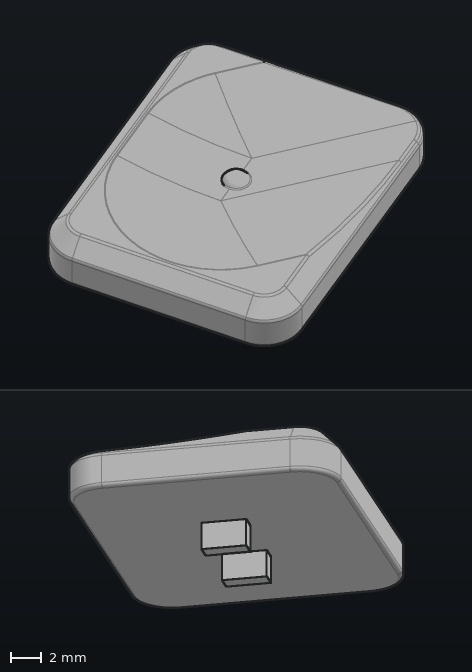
import cadquery as cq
import math

WIDTH = 18.0
LENGTH = 22.5
BODY_HEIGHT = 3.5
CORNER_RADIUS = 2.75
TOP_CHAMFER = 1.22
EDGE_FILLET = 0.3

DISH_RADIUS = 7.5
DISH_DEPTH = 0.9
DISH_CENTRE_Y = 2.25
SPOUT_ANGLE = 45.0
SPOUT_LENGTH = 22.5

DOME_RADIUS = 1.04
DOME_HEIGHT = 0.58
DOME_FILLET = 0.11
DOME_ROOT = 0.45

LEG_WIDTH = 2.97
LEG_THICKNESS = 1.2
LEG_HEIGHT = 1.82
LEG_CENTRE_Y = 2.85

TOOL_CLEARANCE = 1.12
SELECT_MARGIN = 0.02

FLOOR_Z = BODY_HEIGHT - DISH_DEPTH
TOOL_TOP_Z = BODY_HEIGHT + TOOL_CLEARANCE


def make_body():
    """Rounded block with a chamfered top; all but the upper chamfer edge is blended."""
    body = cq.Workplane("XY").box(WIDTH, LENGTH, BODY_HEIGHT, centered=(True, True, False))
    body = body.edges("|Z").fillet(CORNER_RADIUS)
    body = body.faces(">Z").edges().chamfer(TOP_CHAMFER)
    shoulder_z = BODY_HEIGHT - TOP_CHAMFER
    shoulder = cq.selectors.BoxSelector(
        (-WIDTH, -LENGTH, shoulder_z - SELECT_MARGIN), (WIDTH, LENGTH, shoulder_z + SELECT_MARGIN)
    )
    return body.faces("<Z").edges().add(body.edges(shoulder)).fillet(EDGE_FILLET)


def half_section(centre_y, angle):
    """Half of the dish section: from the dish centre outwards in the direction of angle (degrees).

    The floor is an arc that leaves the centre level and rises to the rim. The plane's normal is
    the outward direction turned 90 degrees clockwise.
    """
    outward = (math.cos(math.radians(angle)), math.sin(math.radians(angle)), 0)
    normal = (outward[1], -outward[0], 0)
    arc_radius = (DISH_RADIUS**2 + DISH_DEPTH**2) / (2 * DISH_DEPTH)
    middle_x = DISH_RADIUS / 2
    middle_z = FLOOR_Z + arc_radius - math.sqrt(arc_radius**2 - middle_x**2)
    return (
        cq.Workplane(cq.Plane(origin=(0, centre_y, 0), xDir=outward, normal=normal))
        .moveTo(0, FLOOR_Z)
        .threePointArc((middle_x, middle_z), (DISH_RADIUS, BODY_HEIGHT))
        .lineTo(DISH_RADIUS, TOOL_TOP_Z)
        .lineTo(0, TOOL_TOP_Z)
        .close()
    )


def round_end(centre_y, start_angle, end_angle):
    """Part of the bowl turned about its centre, anticlockwise from start_angle to end_angle."""
    return half_section(centre_y, end_angle).revolve(end_angle - start_angle, (0, 0), (0, -1))


def make_dish():
    """Cutting solid: a bowl with round ends and a straight -X side, run out along the spout."""
    left_side = half_section(DISH_CENTRE_Y, 180).extrude(-2 * DISH_CENTRE_Y)
    upper_end = round_end(DISH_CENTRE_Y, 90 + SPOUT_ANGLE, 180)
    lower_end = round_end(-DISH_CENTRE_Y, 180, 270 + SPOUT_ANGLE)
    upper_flank = half_section(DISH_CENTRE_Y, 90 + SPOUT_ANGLE).extrude(SPOUT_LENGTH)
    lower_flank = half_section(-DISH_CENTRE_Y, SPOUT_ANGLE - 90).extrude(-SPOUT_LENGTH)

    spout_x = SPOUT_LENGTH * math.cos(math.radians(SPOUT_ANGLE))
    spout_y = SPOUT_LENGTH * math.sin(math.radians(SPOUT_ANGLE))
    spout_floor = (
        cq.Workplane("XY", origin=(0, 0, FLOOR_Z))
        .polyline([
            (0, -DISH_CENTRE_Y),
            (spout_x, spout_y - DISH_CENTRE_Y),
            (spout_x, spout_y + DISH_CENTRE_Y),
            (0, DISH_CENTRE_Y),
        ])
        .close()
        .extrude(TOOL_TOP_Z - FLOOR_Z)
    )
    dish = left_side
    for part in (upper_end, lower_end, upper_flank, lower_flank, spout_floor):
        dish = dish.union(part, clean=False)
    return dish


def make_dome():
    """Dome with a blend around its foot, turned about the Z axis and sunk into the dish floor."""
    sphere_z = FLOOR_Z + DOME_HEIGHT - DOME_RADIUS
    blend_z = FLOOR_Z + DOME_FILLET
    centre_distance = DOME_RADIUS + DOME_FILLET
    foot_radius = math.sqrt(centre_distance**2 - (blend_z - sphere_z) ** 2)
    dome_share = DOME_RADIUS / centre_distance
    touch = (foot_radius * dome_share, sphere_z + (blend_z - sphere_z) * dome_share)
    half_angle = math.atan2(foot_radius, blend_z - sphere_z) / 2
    dome_middle = (DOME_RADIUS * math.sin(half_angle), sphere_z + DOME_RADIUS * math.cos(half_angle))
    blend_middle = (
        foot_radius - DOME_FILLET * math.sin(half_angle),
        blend_z - DOME_FILLET * math.cos(half_angle),
    )
    return (
        cq.Workplane("XZ")
        .moveTo(0, FLOOR_Z + DOME_HEIGHT)
        .threePointArc(dome_middle, touch)
        .threePointArc(blend_middle, (foot_radius, FLOOR_Z))
        .lineTo(foot_radius, FLOOR_Z - DOME_ROOT)
        .lineTo(0, FLOOR_Z - DOME_ROOT)
        .close()
        .revolve(360, (0, 0), (0, 1))
    )


def make_legs():
    return (
        cq.Workplane("XY")
        .pushPoints([(0, -LEG_CENTRE_Y), (0, LEG_CENTRE_Y)])
        .rect(LEG_WIDTH, LEG_THICKNESS)
        .extrude(-LEG_HEIGHT)
    )


body = make_body().cut(make_dish())

rim = body.faces(">Z").edges().add(body.edges("%ELLIPSE"))
body = rim.fillet(EDGE_FILLET)

result = body.union(make_dome()).union(make_legs())